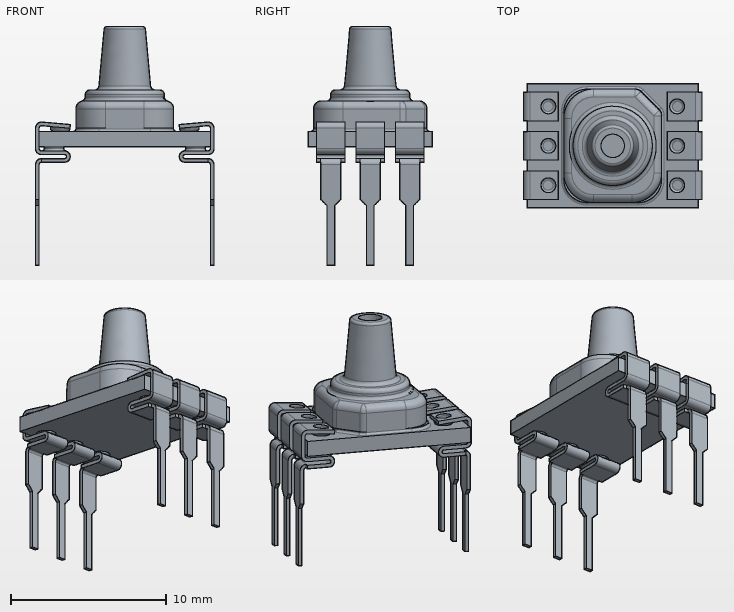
import cadquery as cq
import math


OVERALL_LENGTH = 11.5
OVERALL_HEIGHT = 15.37
SHEET = 0.25
BOARD_LENGTH = OVERALL_LENGTH - 2 * SHEET
BOARD_WIDTH = 8.0
BOARD_TOP = 1.0

HOUSING_LENGTH = 6.3
HOUSING_WIDTH = 7.3
HOUSING_TOP = 2.95
HOUSING_CORNER = 1.9
HOUSING_TOP_ROUND = 0.5
KEY_CHAMFER = 1.5
KEY_ROUND = 0.52
PLINTH_TOP = 1.2
PLINTH_CORNER = 1.5
PLINTH_KEY_CHAMFER = 1.46
PLINTH_FLARE = 0.15

FLANGE_RADIUS = 2.55
FLANGE_TOP = 3.66
FLANGE_ROUND = 0.3
FLANGE_FOOT_FILLET = 0.25
FLANGE_ROOT_DEPTH = 0.05
NOZZLE_BASE_RADIUS = 1.69
NOZZLE_TIP_RADIUS = 1.32
NOZZLE_TOP = 7.75
NOZZLE_BASE_FILLET = 0.29
NOZZLE_TIP_ROUND = 0.2
BORE_RADIUS = 0.75

LEAD_ROWS = 3
LEAD_PITCH = 2.54
CLIP_WIDTH = 1.85
LEG_WIDTH = 1.3
PIN_WIDTH = 0.5
PIN_TIP_Z = NOZZLE_TOP - OVERALL_HEIGHT
TAPER_TOP_Z = -3.38
TAPER_BOTTOM_Z = TAPER_TOP_Z - (LEG_WIDTH - PIN_WIDTH) / 2
ARM_REACH = 2.25
ARM_SLOPE = math.radians(5)
BEND_RADIUS = 0.28
LOOP_RADIUS = 0.25
TOP_BEND_Z = 1.2
BOTTOM_ARM_Z = -0.38
LOOP_ARM_Z = BOTTOM_ARM_Z - 2 * LOOP_RADIUS
LEAD_X = OVERALL_LENGTH / 2 - SHEET / 2
BEND_X = LEAD_X - BEND_RADIUS
ARM_END_X = OVERALL_LENGTH / 2 - ARM_REACH

DIMPLE_INSET = 1.61
DIMPLE_DEPTH = 0.3
DIMPLE_POCKET_RADIUS = 0.48
DIMPLE_POCKET_ROUND = 0.15
DIMPLE_BULGE_RADIUS = 0.63
DIMPLE_BULGE_ROUND = 0.25
PAD_INSET = 1.2
PAD_RADIUS = 0.63
PAD_FILLET = 0.15

SLACK = 0.02


def point_on_circle(center, radius, angle):
    """Point on a circle at the given angle in radians."""
    return (center[0] + radius * math.cos(angle), center[1] + radius * math.sin(angle))


def flat_box(half_length, half_width, height):
    """Selector for edges at one height that lie wholly within a centred rectangle."""
    return cq.selectors.BoxSelector(
        (-half_length, -half_width, height - SLACK),
        (half_length, half_width, height + SLACK),
        boundingbox=True,
    )


def ring_at(radius, height):
    """Selector for a circular edge around the Z axis."""
    larger = radius + SLACK
    smaller = radius - SLACK
    return flat_box(larger, larger, height) - flat_box(smaller, smaller, height)


def keyed_block(corner_radius, key_chamfer, bottom, top):
    """Upright block with three rounded corners and a flat at the +X +Y corner."""
    block = (
        cq.Workplane("XY")
        .workplane(offset=bottom)
        .rect(HOUSING_LENGTH, HOUSING_WIDTH)
        .extrude(top - bottom)
    )
    block = block.edges("|Z").edges("<X or <Y").fillet(corner_radius)
    block = block.edges("|Z").edges(">(1, 1, 0)").chamfer(key_chamfer)
    return block.faces(">(1, 1, 0)").edges("|Z").fillet(KEY_ROUND)


def make_board():
    """Board with the flared plinth on which the housing stands."""
    board = cq.Workplane("XY").rect(BOARD_LENGTH, BOARD_WIDTH).extrude(BOARD_TOP)
    board = board.union(keyed_block(PLINTH_CORNER, PLINTH_KEY_CHAMFER, BOARD_TOP, PLINTH_TOP))
    inside_rim = flat_box(BOARD_LENGTH / 2 - SLACK, BOARD_WIDTH / 2 - SLACK, BOARD_TOP)
    return board.edges(inside_rim).fillet(PLINTH_FLARE)


def make_housing():
    housing = keyed_block(HOUSING_CORNER, KEY_CHAMFER, BOARD_TOP, HOUSING_TOP)
    return housing.faces(">Z").edges().fillet(HOUSING_TOP_ROUND)


def make_port():
    """Flange and tapered nozzle, turned about the Z axis."""
    foot_radius = FLANGE_RADIUS + FLANGE_FOOT_FILLET
    port = (
        cq.Workplane("XZ")
        .moveTo(0, HOUSING_TOP - FLANGE_ROOT_DEPTH)
        .lineTo(foot_radius, HOUSING_TOP - FLANGE_ROOT_DEPTH)
        .lineTo(foot_radius, HOUSING_TOP)
        .radiusArc((FLANGE_RADIUS, HOUSING_TOP + FLANGE_FOOT_FILLET), FLANGE_FOOT_FILLET)
        .lineTo(FLANGE_RADIUS, FLANGE_TOP)
        .lineTo(NOZZLE_BASE_RADIUS, FLANGE_TOP)
        .lineTo(NOZZLE_TIP_RADIUS, NOZZLE_TOP)
        .lineTo(0, NOZZLE_TOP)
        .close()
        .revolve(360, (0, 0, 0), (0, 1, 0))
    )
    port = port.edges(">Z").fillet(NOZZLE_TIP_ROUND)
    port = port.edges(ring_at(FLANGE_RADIUS, FLANGE_TOP)).fillet(FLANGE_ROUND)
    return port.edges(ring_at(NOZZLE_BASE_RADIUS, FLANGE_TOP)).fillet(NOZZLE_BASE_FILLET)


def make_clip():
    """Wide part of a +X lead: top arm, outer wall, bottom arm and return loop."""
    top_bend = (BEND_X, TOP_BEND_Z)
    bottom_bend = (BEND_X, BOTTOM_ARM_Z + BEND_RADIUS)
    loop = (ARM_END_X + LOOP_RADIUS + SHEET / 2, (BOTTOM_ARM_Z + LOOP_ARM_Z) / 2)
    slope_normal = math.pi / 2 + ARM_SLOPE
    arm_root = point_on_circle(top_bend, BEND_RADIUS, slope_normal)
    arm_run = arm_root[0] - ARM_END_X
    arm_end = (ARM_END_X, arm_root[1] - arm_run * math.tan(ARM_SLOPE))
    path = (
        cq.Workplane("XZ")
        .moveTo(*arm_end)
        .lineTo(*arm_root)
        .threePointArc(point_on_circle(top_bend, BEND_RADIUS, slope_normal / 2), (LEAD_X, TOP_BEND_Z))
        .lineTo(LEAD_X, bottom_bend[1])
        .threePointArc(point_on_circle(bottom_bend, BEND_RADIUS, -math.pi / 4), (BEND_X, BOTTOM_ARM_Z))
        .lineTo(loop[0], BOTTOM_ARM_Z)
        .threePointArc(point_on_circle(loop, LOOP_RADIUS, math.pi), (loop[0], LOOP_ARM_Z))
        .lineTo(BEND_X, LOOP_ARM_Z)
    )
    start = cq.Plane(
        origin=(arm_end[0], 0, arm_end[1]),
        xDir=(0, 1, 0),
        normal=(math.cos(ARM_SLOPE), 0, math.sin(ARM_SLOPE)),
    )
    return cq.Workplane(start).rect(CLIP_WIDTH, SHEET).sweep(path)


def make_leg():
    """Narrow part of a +X lead: bend down from the loop, shoulders and pin."""
    bend = (BEND_X, LOOP_ARM_Z - BEND_RADIUS)
    path = (
        cq.Workplane("XZ")
        .moveTo(BEND_X, LOOP_ARM_Z)
        .threePointArc(point_on_circle(bend, BEND_RADIUS, math.pi / 4), (LEAD_X, bend[1]))
        .lineTo(LEAD_X, TAPER_TOP_Z)
    )
    start = cq.Workplane("YZ", origin=(BEND_X, 0, LOOP_ARM_Z))
    strip = start.rect(LEG_WIDTH, SHEET).sweep(path)
    pin = (
        cq.Workplane("YZ", origin=(LEAD_X - SHEET / 2, 0, 0))
        .moveTo(-LEG_WIDTH / 2, TAPER_TOP_Z)
        .lineTo(-PIN_WIDTH / 2, TAPER_BOTTOM_Z)
        .lineTo(-PIN_WIDTH / 2, PIN_TIP_Z)
        .lineTo(PIN_WIDTH / 2, PIN_TIP_Z)
        .lineTo(PIN_WIDTH / 2, TAPER_BOTTOM_Z)
        .lineTo(LEG_WIDTH / 2, TAPER_TOP_Z)
        .close()
        .extrude(SHEET)
    )
    return strip.union(pin)


def make_pad():
    """Round pad from the bottom arm up to the board, with a concave fillet at its foot."""
    arm_top = BOTTOM_ARM_Z + SHEET / 2
    return (
        cq.Workplane("XZ")
        .moveTo(0, arm_top)
        .lineTo(PAD_RADIUS + PAD_FILLET, arm_top)
        .radiusArc((PAD_RADIUS, arm_top + PAD_FILLET), PAD_FILLET)
        .lineTo(PAD_RADIUS, 0)
        .lineTo(0, 0)
        .close()
        .revolve(360, (0, 0, 0), (0, 1, 0))
        .translate((OVERALL_LENGTH / 2 - PAD_INSET, 0, 0))
    )


def round_ended_plug(plane, radius, depth, end_round):
    """Cylinder sunk below the plane, with a rounded lower rim."""
    plug = cq.Workplane(plane).circle(radius).extrude(-depth)
    return plug.faces("<Z").edges().fillet(end_round)


def make_lead():
    """One complete +X lead at Y = 0."""
    lead = make_clip().union(make_leg()).union(make_pad())

    dimple_x = OVERALL_LENGTH / 2 - DIMPLE_INSET
    face_rise = (BEND_RADIUS + SHEET / 2) / math.cos(ARM_SLOPE)
    dimple_z = TOP_BEND_Z + face_rise - (BEND_X - dimple_x) * math.tan(ARM_SLOPE)
    arm_face = cq.Plane(
        origin=(dimple_x, 0, dimple_z),
        xDir=(0, 1, 0),
        normal=(-math.sin(ARM_SLOPE), 0, math.cos(ARM_SLOPE)),
    )
    bulge = round_ended_plug(arm_face, DIMPLE_BULGE_RADIUS, SHEET + DIMPLE_DEPTH, DIMPLE_BULGE_ROUND)
    pocket = round_ended_plug(arm_face, DIMPLE_POCKET_RADIUS, DIMPLE_DEPTH, DIMPLE_POCKET_ROUND)
    return lead.union(bulge).cut(pocket)


result = make_board().union(make_housing()).union(make_port())
bore = cq.Workplane("XY").workplane(offset=BOARD_TOP).circle(BORE_RADIUS).extrude(NOZZLE_TOP - BOARD_TOP)
result = result.cut(bore)

right_lead = make_lead()
left_lead = right_lead.mirror("YZ")
for row in range(LEAD_ROWS):
    lead_y = (row - (LEAD_ROWS - 1) / 2) * LEAD_PITCH
    for lead in (right_lead, left_lead):
        result = result.union(lead.translate((0, lead_y, 0)))